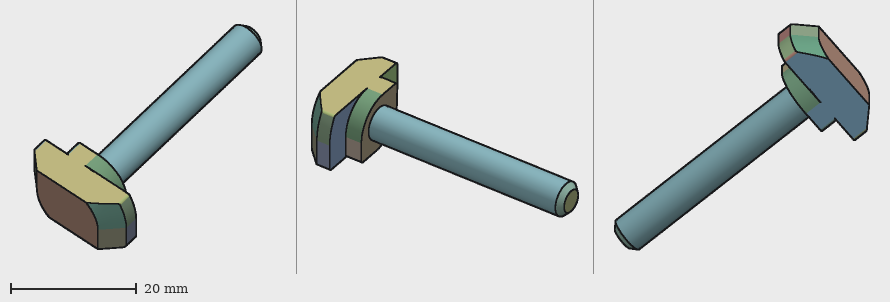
import cadquery as cq
import math

total_length = 45.7
head_length = 19.0
body_width = 10.0
head_thickness = 5.65
slope_depth = 3.2
neck_height = 3.0
neck_round = 6.0
edge_round = 0.5
shaft_diameter = 6.0
tip_chamfer = 1.0

half_length = head_length / 2
half_width = body_width / 2
front_half_length = half_length - slope_depth
neck_top = head_thickness + neck_height


def along_y(start):
    """Sketch plane at y = start with local axes X and Z, extruding toward -Y."""
    return cq.Workplane("XZ", origin=(0, start, 0))


def head_outline(workplane):
    """Head outline: square ends on two corners, arcs about the axis on the other two."""
    arc_end = math.sqrt(half_length**2 - half_width**2)
    mid_angle = math.asin(half_width / half_length) / 2
    mid_x = half_length * math.cos(mid_angle)
    mid_z = half_length * math.sin(mid_angle)
    return (
        workplane.moveTo(-half_length, half_width)
        .lineTo(arc_end, half_width)
        .threePointArc((mid_x, mid_z), (half_length, 0))
        .lineTo(half_length, -half_width)
        .lineTo(-arc_end, -half_width)
        .threePointArc((-mid_x, -mid_z), (-half_length, 0))
        .close()
    )


def sloped_envelope():
    """Cone about the Y axis, joined to straight wedges that keep the square corners."""
    profile = [
        (0, 0),
        (front_half_length, 0),
        (half_length, slope_depth),
        (half_length, head_thickness),
        (0, head_thickness),
    ]
    envelope = cq.Workplane("XY").polyline(profile).close().revolve(360, (0, 0), (0, 1))
    for side in (-1, 1):
        wedge_points = [(side * x, y) for x, y in profile]
        wedge = cq.Workplane("XY").polyline(wedge_points).close().extrude(-side * half_width)
        envelope = envelope.union(wedge)
    return envelope


def make_head():
    blank = head_outline(along_y(head_thickness)).extrude(head_thickness)
    outer_edges = blank.edges("|Y").edges("<Z or >Z")
    return outer_edges.fillet(edge_round).intersect(sloped_envelope())


def make_neck():
    neck = along_y(neck_top).rect(body_width, body_width).extrude(neck_height)
    corner_sizes = [(1, 1, neck_round), (-1, -1, neck_round), (-1, 1, edge_round), (1, -1, edge_round)]
    for x_side, z_side, radius in corner_sizes:
        corner = (x_side * half_width, head_thickness + neck_height / 2, z_side * half_width)
        neck = neck.edges(cq.selectors.NearestToPointSelector(corner)).fillet(radius)
    return neck


def make_shaft():
    shaft = along_y(total_length).circle(shaft_diameter / 2).extrude(total_length - neck_top)
    return shaft.faces(">Y").chamfer(tip_chamfer)


result = make_head().union(make_neck()).union(make_shaft())